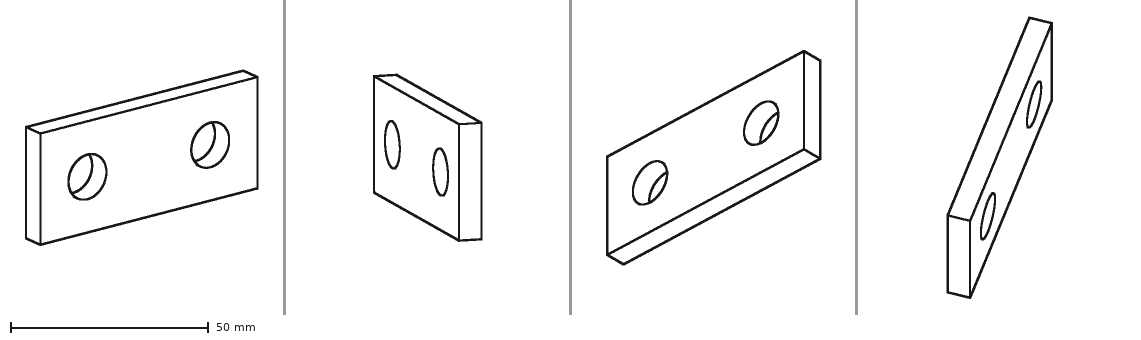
import cadquery as cq

thickness = 6.0
length = 69.0
height = 30.0

hole_diameter = 12.0
hole_end_distance = 15.0
hole_spacing = length - 2 * hole_end_distance


def make_plate():
    """Flat rectangular bar standing on its long edge, centred on the origin."""
    return cq.Workplane("XY").box(thickness, length, height)


def drill_holes(plate):
    """Drill both holes through the thickness, mirrored about mid-length."""
    return (
        plate.faces("<X")
        .workplane(centerOption="CenterOfMass")
        .pushPoints([(-hole_spacing / 2, 0), (hole_spacing / 2, 0)])
        .hole(hole_diameter)
    )


result = drill_holes(make_plate())